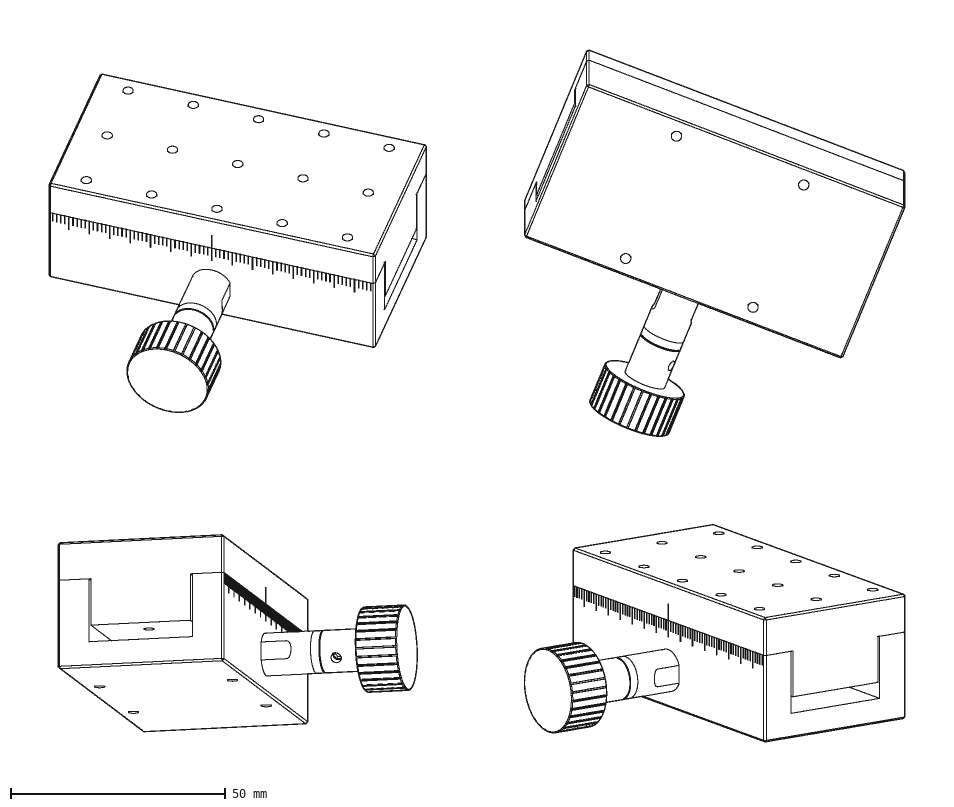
import cadquery as cq
import math

block_length = 80.0
block_width = 40.0
block_height = 30.0
edge_chamfer = 0.5

plate_height = 9.0
stem_width = 24.0
stem_height = 11.0
base_height = block_height - plate_height
channel_width = 25.0
channel_floor = 6.0

hole_diameter = 2.4
hole_pitch = 16.0
hole_columns = 5
hole_rows = 3

ticks_per_side = 39
tick_pitch = block_length / 2 / (ticks_per_side + 1)
ticks_per_major = 5
tick_width = 0.12
tick_depth = 0.1
minor_tick_length = 2.5
major_tick_length = 4.0

front_y = -block_width / 2
axis_z = 9.0
shaft_diameter = 10.0
bushing_end = 12.0
ring_end = 14.0
head_start = 24.0
head_end = 34.0
head_diameter = 20.0
hub_chamfer = 0.2
head_chamfer = 0.2

across_flats = 9.0
flat_length = 6.0
flat_runout_radius = 2.0

flute_count = 30
flute_width = 0.36
flute_depth = 0.2
first_flute_angle = 9.0

set_screw_station = 18.0
set_screw_angle = 30.0
set_screw_diameter = 2.4
set_screw_recess = 2.2
set_screw_length = 2.4
socket_across_flats = 1.8
socket_depth = 1.4


def box(length, width, bottom, top):
    """A box centred on X = Y = 0 between two heights."""
    return cq.Workplane("XY").workplane(offset=bottom).rect(length, width).extrude(top - bottom)


def vertical_holes(points, bottom, top):
    """Round cutters between two heights."""
    plane = cq.Workplane("XY").workplane(offset=bottom)
    return plane.pushPoints(points).circle(hole_diameter / 2).extrude(top - bottom)


def ticks(numbers, length, direction):
    """Cutters for scale lines that start at the top of the base and run up (+1) or down (-1)."""
    middle_z = base_height + direction * length / 2
    points = [(number * tick_pitch, front_y, middle_z) for number in numbers]
    return cq.Workplane("XY").pushPoints(points).box(tick_width, 2 * tick_depth, length)


def make_table():
    plate = box(block_length, block_width, base_height, block_height)
    plate = plate.edges("|Z or >Z").chamfer(edge_chamfer)
    table = plate.union(box(block_length, stem_width, base_height - stem_height, base_height))
    points = [
        (hole_pitch * (column - (hole_columns - 1) / 2), hole_pitch * (row - (hole_rows - 1) / 2))
        for column in range(hole_columns)
        for row in range(hole_rows)
    ]
    table = table.cut(vertical_holes(points, 0, block_height))
    return table.cut(ticks([0], major_tick_length, 1))


def make_base():
    base = box(block_length, block_width, 0, base_height)
    base = base.edges("|Z or <Z").chamfer(edge_chamfer)
    base = base.cut(box(block_length, channel_width, channel_floor, base_height))
    points = [(x, y) for x in (-hole_pitch, hole_pitch) for y in (-hole_pitch, hole_pitch)]
    base = base.cut(vertical_holes(points, 0, base_height))
    numbers = range(-ticks_per_side, ticks_per_side + 1)
    major_numbers = [number for number in numbers if number % ticks_per_major == 0]
    minor_numbers = [number for number in numbers if number % ticks_per_major != 0]
    base = base.cut(ticks(major_numbers, major_tick_length, -1))
    return base.cut(ticks(minor_numbers, minor_tick_length, -1))


def turned(profile):
    """Revolve (station, radius) points about the clamping-screw axis."""
    points = [(front_y - station, axis_z + radius) for station, radius in profile]
    return cq.Workplane("YZ").polyline(points).close().revolve(360, (0, axis_z), (1, axis_z))


def shaft_section(start, end):
    radius = shaft_diameter / 2
    return turned([(start, 0), (start, radius), (end, radius), (end, 0)])


def flat_cutter(side):
    """Cutter for one wrench flat, on the +X (+1) or -X (-1) side of the bushing."""
    flat_x = across_flats / 2
    outer_x = flat_x + flat_runout_radius
    end_y = front_y - flat_length
    cutter = (
        cq.Workplane("XY")
        .moveTo(side * flat_x, front_y)
        .lineTo(side * flat_x, end_y)
        .radiusArc((side * outer_x, end_y - flat_runout_radius), side * -flat_runout_radius)
        .lineTo(side * outer_x, front_y)
        .close()
        .extrude(shaft_diameter)
    )
    return cutter.translate((0, 0, axis_z - shaft_diameter / 2))


def make_bushing():
    bushing = shaft_section(0, bushing_end)
    for side in (-1, 1):
        bushing = bushing.cut(flat_cutter(side))
    return bushing


def flute_cutter(angle):
    """Rectangular groove along the knob head at an angle from +X towards +Z."""
    length = head_end - head_start
    cutter = cq.Workplane("XY").box(2 * flute_depth, length, flute_width)
    cutter = cutter.translate((head_diameter / 2, front_y - head_start - length / 2, 0))
    return cutter.rotate((0, 0, 0), (0, 1, 0), -angle).translate((0, 0, axis_z))


def set_screw_plane(depth):
    """Workplane across the set screw, a depth below the hub surface, with its normal outwards."""
    tilt = math.radians(set_screw_angle)
    outward = (-math.cos(tilt), 0, -math.sin(tilt))
    reach = shaft_diameter / 2 - depth
    origin = (reach * outward[0], front_y - set_screw_station, axis_z + reach * outward[2])
    return cq.Workplane(cq.Plane(origin=origin, xDir=(0, 1, 0), normal=outward))


def make_knob():
    hub_radius = shaft_diameter / 2
    head_radius = head_diameter / 2
    knob = turned(
        [
            (ring_end, 0),
            (ring_end, hub_radius - hub_chamfer),
            (ring_end + hub_chamfer, hub_radius),
            (head_start, hub_radius),
            (head_start, head_radius - head_chamfer),
            (head_start + head_chamfer, head_radius),
            (head_end - head_chamfer, head_radius),
            (head_end, head_radius - head_chamfer),
            (head_end, 0),
        ]
    )
    for number in range(flute_count):
        knob = knob.cut(flute_cutter(first_flute_angle + number * 360 / flute_count))
    hole_depth = set_screw_recess + set_screw_length
    return knob.cut(set_screw_plane(hole_depth).circle(set_screw_diameter / 2).extrude(hole_depth))


def make_set_screw():
    bottom = set_screw_recess + set_screw_length
    screw = set_screw_plane(bottom).circle(set_screw_diameter / 2).extrude(set_screw_length)
    socket_corners = socket_across_flats / math.cos(math.pi / 6)
    socket_plane = set_screw_plane(set_screw_recess + socket_depth)
    return screw.cut(socket_plane.polygon(6, socket_corners).extrude(socket_depth))


table = make_table()
base = make_base()
bushing = make_bushing()
ring = shaft_section(bushing_end, ring_end)
knob = make_knob()
set_screw = make_set_screw()

bodies = [table, base, bushing, ring, knob, set_screw]
result = cq.Compound.makeCompound([body.solids().val() for body in bodies])